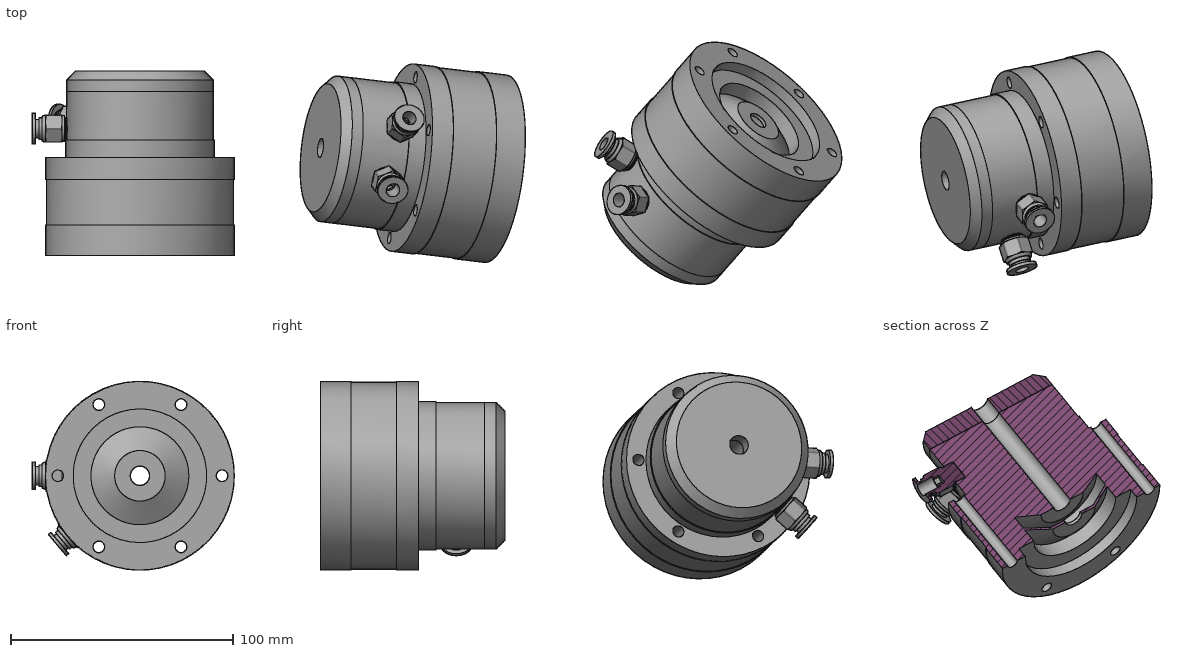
import cadquery as cq
import math


flange_radius = 42.5
waist_radius = 42.1
shoulder_radius = 33.5
barrel_radius = 33.0
front_flange_end = 13.65
waist_end = 34.1
rear_flange_end = 44.1
shoulder_end = 52.05
barrel_end = 73.8

recess_radius = 30.0
recess_depth = 5.1
well_radius = 22.0
well_depth = 12.3
hub_radius = 11.4
hub_depth = 5.8

bore_radius = 4.3
cone_wall = 1.55
inner_hub_depth = 15.5
inner_cone_height = 5.3

bolt_count = 6
bolt_circle_radius = 36.95
bolt_hole_radius = 2.55

overall_length = 83.0
cap_chamfer = 4.0

fitting_tip = 48.5
release_thickness = 1.5
release_half_width = 6.3
release_half_length = 7.0
fitting_neck_radius = 4.2
neck_length = 1.55
collar_radius = 4.9
collar_length = 1.55
dome_small_radius = 5.55
dome_middle_radius = 6.0
dome_large_radius = 6.1
dome_length = 1.55
nut_across_flats = 12.2
nut_length = 7.4
nut_edge_fillet = 0.4
nut_chamfer_length = 0.3
base_ring_radius = 5.8
base_ring_length = 1.1
stem_radius = 4.9
stem_end = 28.2
thread_pitch = 0.4
thread_depth = 0.2
thread_groove_count = 3
tube_hole_radius = 3.1
tube_hole_depth = 8.2
socket_across_flats = 4.55
socket_depth = 2.7

release_base = fitting_tip - release_thickness
collar_tip = release_base - neck_length
dome_tip = collar_tip - collar_length
nut_tip = dome_tip - dome_length
nut_base = nut_tip - nut_length
ring_base = nut_base - base_ring_length
tube_hole_end = fitting_tip - tube_hole_depth
nut_corner_radius = nut_across_flats / math.sqrt(3)

fitting_places = [(57.1, 0), (61.1, 40)]


def disc(radius, start, end):
    """Cylinder on the Y axis between two Y positions."""
    return cq.Workplane("XZ", origin=(0, start, 0)).circle(radius).extrude(start - end)


def revolve_on_y(points):
    """Solid of revolution about the Y axis from (radius, Y) points."""
    return cq.Workplane("XY").polyline(points).close().revolve(360, (0, 0), (0, 1))


def post(radius, start, end):
    """Cylinder on the Z axis between two Z positions."""
    return cq.Workplane("XY").workplane(offset=start).circle(radius).extrude(end - start)


def hexagon(across_flats, start, end):
    """Hexagonal prism on the Z axis, with two of its flats facing along Y."""
    corner_diameter = across_flats * 2 / math.sqrt(3)
    return cq.Workplane("XY").workplane(offset=start).polygon(6, corner_diameter).extrude(end - start)


def place_on_housing(shape, position, angle):
    """Turn a Z-axis shape to point radially outward and move it along the housing."""
    return shape.rotate((0, 0, 0), (0, 1, 0), -90 - angle).translate((0, position, 0))


def make_nut():
    """Hexagon with rounded edges, its corners bevelled at both ends."""
    envelope = (
        cq.Workplane("XZ")
        .polyline([
            (0, nut_base),
            (dome_large_radius, nut_base),
            (nut_corner_radius, nut_base + nut_chamfer_length),
            (nut_corner_radius, nut_tip - nut_chamfer_length),
            (dome_large_radius, nut_tip),
            (0, nut_tip),
        ])
        .close()
        .revolve(360, (0, 0), (0, 1))
    )
    prism = hexagon(nut_across_flats, nut_base, nut_tip).edges("|Z").fillet(nut_edge_fillet)
    return prism.intersect(envelope)


def make_dome():
    """Ring above the nut, with a rounded shoulder."""
    return (
        cq.Workplane("XZ")
        .moveTo(0, nut_tip)
        .lineTo(dome_large_radius, nut_tip)
        .threePointArc(
            (dome_middle_radius, (nut_tip + dome_tip) / 2),
            (dome_small_radius, dome_tip),
        )
        .lineTo(0, dome_tip)
        .close()
        .revolve(360, (0, 0), (0, 1))
    )


def make_stem():
    """Round stem with a few thread grooves just below the nut."""
    stem = post(stem_radius, stem_end, ring_base)
    for index in range(thread_groove_count):
        groove_top = ring_base - index * thread_pitch
        groove = (
            cq.Workplane("XZ")
            .polyline([
                (stem_radius, groove_top),
                (stem_radius - thread_depth, groove_top - thread_pitch / 2),
                (stem_radius, groove_top - thread_pitch),
            ])
            .close()
            .revolve(360, (0, 0), (0, 1))
        )
        stem = stem.cut(groove)
    return stem


def make_fitting():
    """Fitting on the Z axis, with its tube opening at the top."""
    release_flange = (
        cq.Workplane("XY")
        .workplane(offset=release_base)
        .ellipse(release_half_width, release_half_length)
        .extrude(release_thickness)
    )
    return (
        make_nut()
        .union(make_dome())
        .union(post(base_ring_radius, ring_base, nut_base))
        .union(make_stem())
        .union(post(collar_radius, dome_tip, collar_tip))
        .union(post(fitting_neck_radius, collar_tip, release_base))
        .union(release_flange)
        .cut(post(tube_hole_radius, tube_hole_end, fitting_tip))
        .cut(hexagon(socket_across_flats, tube_hole_end - socket_depth, tube_hole_end))
    )


def make_housing():
    body = (
        disc(flange_radius, 0, front_flange_end)
        .union(disc(waist_radius, front_flange_end, waist_end))
        .union(disc(flange_radius, waist_end, rear_flange_end))
        .union(disc(shoulder_radius, rear_flange_end, shoulder_end))
        .union(disc(barrel_radius, shoulder_end, barrel_end))
    )
    body = body.cut(disc(recess_radius, 0, recess_depth))
    body = body.cut(
        revolve_on_y([
            (0, recess_depth),
            (well_radius, recess_depth),
            (well_radius, well_depth),
            (hub_radius, hub_depth),
            (0, hub_depth),
        ])
    )
    body = body.cut(
        revolve_on_y([
            (0, hub_depth + cone_wall),
            (hub_radius, hub_depth + cone_wall),
            (well_radius, well_depth + cone_wall),
            (well_radius, inner_hub_depth + inner_cone_height),
            (hub_radius, inner_hub_depth),
            (0, inner_hub_depth),
        ])
    )
    body = body.cut(disc(bore_radius, 0, barrel_end))
    for index in range(bolt_count):
        angle = 2 * math.pi * index / bolt_count
        hole = disc(bolt_hole_radius, 0, rear_flange_end).translate(
            (bolt_circle_radius * math.cos(angle), 0, bolt_circle_radius * math.sin(angle))
        )
        body = body.cut(hole)
    for position, angle in fitting_places:
        body = body.cut(place_on_housing(post(stem_radius, stem_end, nut_base), position, angle))
    return body


def make_end_cap():
    cap = disc(barrel_radius, barrel_end, overall_length).faces(">Y").chamfer(cap_chamfer)
    return cap.cut(disc(bore_radius, barrel_end, overall_length))


housing = make_housing()
end_cap = make_end_cap()
fittings = [place_on_housing(make_fitting(), position, angle) for position, angle in fitting_places]

result = cq.Compound.makeCompound(
    [housing.val(), end_cap.val(), *[fitting.val() for fitting in fittings]]
)